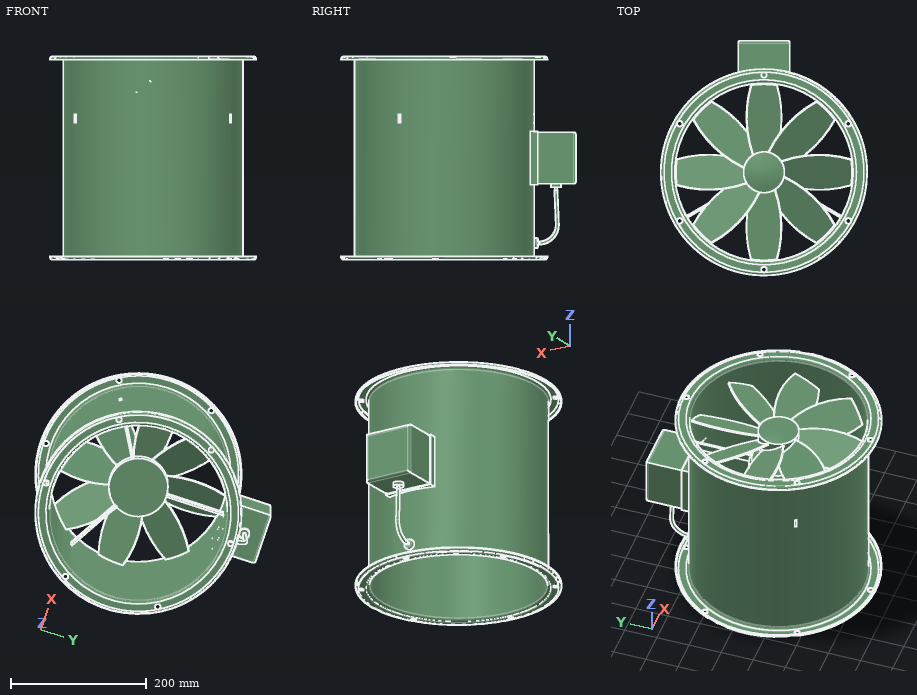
import cadquery as cq
import math

OVERALL_DEPTH = 346.0

CASING_HEIGHT = 300.0
TUBE_RADIUS = 132.5
SHEET = 1.5
BORE_RADIUS = TUBE_RADIUS - SHEET
FLANGE_DIAMETER = 304.0
FLANGE_RADIUS = FLANGE_DIAMETER / 2
BEND_RADIUS = 5.2
LIP_RADIUS = 5.0
LIP_HEIGHT = 5.5
BOLT_COUNT = 6
BOLT_CIRCLE_RADIUS = 143.2
BOLT_HOLE_DIAMETER = 8.0

MOTOR_RADIUS = 43.5
MOTOR_TOP = 220.7
MOTOR_CHAMFER_WIDTH = 4.0
MOTOR_CHAMFER_HEIGHT = 8.3
SHAFT_RADIUS = 7.0
STRUT_HEIGHT = 12.0
STRUT_THICKNESS = 3.0
STRUT_MID_Z = 208.3
STRUT_ANGLES = (90, 210, 330)

HUB_RADIUS = 30.0
HUB_BOTTOM = 247.7
HUB_TOP = 275.5
NOSE_HEIGHT = 6.0
BLADE_COUNT = 8
BLADE_PITCH = 29.5
BLADE_THICKNESS = 2.0
BLADE_MID_Z = 262.0
BLADE_ROOT = 27.5
BLADE_WIDEST = 79.5
TIP_CLEARANCE = 1.5
BLADE_ROOT_SPREAD = 16.5
BLADE_WIDEST_SPREAD = 25.5
BLADE_TIP_SPREAD = 18.0

BOX_SIZE = 76.0
BOX_FRONT = OVERALL_DEPTH - FLANGE_RADIUS
BOX_BACK = 137.7
BOX_EDGE_FILLET = 3.8
BOX_MID_Z = CASING_HEIGHT / 2
FRAME_BORDER = 1.5

CABLE_RADIUS = 2.5
NECK_RADIUS = 2.0
NECK_LENGTH = 4.5
GLAND_RADIUS = 7.5
GLAND_LENGTH = 5.2
GLAND_FILLET = 2.5
BOX_GLAND_Y = 164.5
CASING_GLAND_Z = 25.0
CASING_GLAND_HEIGHT = 5.5
BEND_START = (166.5, 53.0)


def cylinder(radius, bottom, top):
    """Upright cylinder on the fan axis."""
    return cq.Workplane("XY").workplane(offset=bottom).circle(radius).extrude(top - bottom)


def make_struts():
    """Three radial bars whose outer ends lie flush with the outside of the tube."""
    struts = cq.Workplane("XY")
    for angle in STRUT_ANGLES:
        bar = (
            cq.Workplane("XY")
            .box(FLANGE_RADIUS, STRUT_THICKNESS, STRUT_HEIGHT, centered=(False, True, True))
            .rotate((0, 0, 0), (0, 0, 1), angle)
            .translate((0, 0, STRUT_MID_Z))
        )
        struts = struts.union(bar)
    return struts.intersect(cylinder(TUBE_RADIUS, 0, CASING_HEIGHT))


def make_flange():
    """Top flange: bend out of the tube, flat ring, and lip turned back down."""
    top = CASING_HEIGHT
    diagonal = math.sqrt(0.5)
    bend_center = (BORE_RADIUS + BEND_RADIUS, top - BEND_RADIUS)
    lip_center = (FLANGE_RADIUS - LIP_RADIUS, top - LIP_RADIUS)
    bend_inside = BEND_RADIUS - SHEET
    lip_inside = LIP_RADIUS - SHEET

    def on_bend(radius):
        return (bend_center[0] - radius * diagonal, bend_center[1] + radius * diagonal)

    def on_lip(radius):
        return (lip_center[0] + radius * diagonal, lip_center[1] + radius * diagonal)

    profile = (
        cq.Workplane("XZ")
        .moveTo(BORE_RADIUS, bend_center[1])
        .threePointArc(on_bend(BEND_RADIUS), (bend_center[0], top))
        .lineTo(lip_center[0], top)
        .threePointArc(on_lip(LIP_RADIUS), (FLANGE_RADIUS, lip_center[1]))
        .lineTo(FLANGE_RADIUS, top - LIP_HEIGHT)
        .lineTo(FLANGE_RADIUS - SHEET, top - LIP_HEIGHT)
        .lineTo(FLANGE_RADIUS - SHEET, lip_center[1])
        .threePointArc(on_lip(lip_inside), (lip_center[0], top - SHEET))
        .lineTo(bend_center[0], top - SHEET)
        .threePointArc(on_bend(bend_inside), (TUBE_RADIUS, bend_center[1]))
        .close()
    )
    return profile.revolve(360, (0, 0, 0), (0, 1, 0))


def make_casing(struts):
    tube = cylinder(TUBE_RADIUS, BEND_RADIUS, CASING_HEIGHT - BEND_RADIUS).cut(
        cylinder(BORE_RADIUS, 0, CASING_HEIGHT)
    )
    top_flange = make_flange()
    bottom_flange = top_flange.mirror("XY", (0, 0, CASING_HEIGHT / 2))
    bolt_holes = (
        cq.Workplane("XY")
        .polarArray(BOLT_CIRCLE_RADIUS, 90, 360, BOLT_COUNT)
        .circle(BOLT_HOLE_DIAMETER / 2)
        .extrude(CASING_HEIGHT)
    )
    return tube.union(top_flange).union(bottom_flange).cut(bolt_holes).cut(struts)


def make_motor(struts):
    """Motor centred on the struts in height, with a shaft reaching up to the hub."""
    motor_bottom = 2 * STRUT_MID_Z - MOTOR_TOP
    can = (
        cylinder(MOTOR_RADIUS, motor_bottom, MOTOR_TOP)
        .faces(">Z")
        .chamfer(MOTOR_CHAMFER_HEIGHT, MOTOR_CHAMFER_WIDTH)
    )
    return can.union(cylinder(SHAFT_RADIUS, STRUT_MID_Z, HUB_BOTTOM)).union(struts)


def make_hub():
    """Hub of revolution: a cylinder closed by a shallow dome."""
    nose_top = HUB_TOP + NOSE_HEIGHT
    dome_radius = (HUB_RADIUS**2 + NOSE_HEIGHT**2) / (2 * NOSE_HEIGHT)
    mid_radius = HUB_RADIUS / 2
    mid_height = nose_top - dome_radius + math.sqrt(dome_radius**2 - mid_radius**2)
    return (
        cq.Workplane("XZ")
        .moveTo(0, HUB_BOTTOM)
        .lineTo(HUB_RADIUS, HUB_BOTTOM)
        .lineTo(HUB_RADIUS, HUB_TOP)
        .threePointArc((mid_radius, mid_height), (0, nose_top))
        .close()
        .revolve(360, (0, 0, 0), (0, 1, 0))
    )


def make_blade():
    """Flat blade along +X, bulging at mid span, pitched so its +Y edge is the higher one."""
    widening = 1 / math.cos(math.radians(BLADE_PITCH))
    root = BLADE_ROOT_SPREAD * widening
    widest = BLADE_WIDEST_SPREAD * widening
    tip = BLADE_TIP_SPREAD * widening
    return (
        cq.Workplane("XY")
        .workplane(offset=-BLADE_THICKNESS / 2)
        .moveTo(0, -root)
        .lineTo(BLADE_ROOT, -root)
        .threePointArc((BLADE_WIDEST, -widest), (BORE_RADIUS, -tip))
        .lineTo(BORE_RADIUS, tip)
        .threePointArc((BLADE_WIDEST, widest), (BLADE_ROOT, root))
        .lineTo(0, root)
        .close()
        .extrude(BLADE_THICKNESS)
        .rotate((0, 0, 0), (1, 0, 0), BLADE_PITCH)
        .translate((0, 0, BLADE_MID_Z))
    )


def make_impeller():
    swept_ring = cylinder(BORE_RADIUS - TIP_CLEARANCE, 0, CASING_HEIGHT).cut(
        cylinder(HUB_RADIUS / 2, 0, CASING_HEIGHT)
    )
    blade = make_blade().intersect(swept_ring).solids(">X")
    impeller = make_hub()
    for index in range(BLADE_COUNT):
        impeller = impeller.union(blade.rotate((0, 0, 0), (0, 0, 1), index * 360 / BLADE_COUNT))
    return impeller


def make_frame():
    """Mounting frame, its back shaped to the tube."""
    side = BOX_SIZE + 2 * FRAME_BORDER
    block = (
        cq.Workplane("XY")
        .box(side, BOX_BACK, side, centered=(True, False, True))
        .translate((0, 0, BOX_MID_Z))
    )
    return block.cut(cylinder(TUBE_RADIUS, 0, CASING_HEIGHT))


def make_box():
    depth = BOX_FRONT - BOX_BACK
    return (
        cq.Workplane("XY")
        .box(BOX_SIZE, depth, BOX_SIZE, centered=(True, False, True))
        .faces(">Y")
        .edges()
        .fillet(BOX_EDGE_FILLET)
        .translate((0, BOX_BACK, BOX_MID_Z))
    )


def make_cable():
    """Cable from the underside of the box into the tube wall, with a gland at each end."""
    box_bottom = BOX_MID_Z - BOX_SIZE / 2
    casing_gland_end = TUBE_RADIUS + CASING_GLAND_HEIGHT
    cable_top = box_bottom - GLAND_LENGTH - NECK_LENGTH
    cable_end_y = casing_gland_end + NECK_LENGTH / 2

    path = (
        cq.Workplane("YZ")
        .moveTo(BOX_GLAND_Y, cable_top)
        .lineTo(*BEND_START)
        .tangentArcPoint((cable_end_y, CASING_GLAND_Z), relative=False)
    )
    sheath = cq.Workplane("XY", origin=(0, BOX_GLAND_Y, cable_top)).circle(CABLE_RADIUS).sweep(path)

    box_plane = cq.Workplane("XY", origin=(0, BOX_GLAND_Y, box_bottom))
    box_gland = box_plane.circle(GLAND_RADIUS).extrude(-GLAND_LENGTH)
    box_neck = box_plane.circle(NECK_RADIUS).extrude(cable_top - CABLE_RADIUS - box_bottom)

    casing_plane = cq.Workplane("XZ", origin=(0, casing_gland_end, CASING_GLAND_Z))
    casing_gland = casing_plane.circle(GLAND_RADIUS).extrude(casing_gland_end - BORE_RADIUS)
    casing_gland = casing_gland.faces(">Y").edges().fillet(GLAND_FILLET)
    casing_neck = casing_plane.circle(NECK_RADIUS).extrude(casing_gland_end - cable_end_y - CABLE_RADIUS)

    cable = sheath
    for part in (box_gland, box_neck, casing_gland, casing_neck):
        cable = cable.union(part)
    return cable.cut(cylinder(TUBE_RADIUS, 0, CASING_HEIGHT))


struts = make_struts()
casing = make_casing(struts)
motor = make_motor(struts)
impeller = make_impeller()
frame = make_frame()
terminal_box = make_box()
cable = make_cable()

result = cq.Compound.makeCompound(
    [
        casing.val(),
        motor.val(),
        impeller.val(),
        frame.val(),
        terminal_box.val(),
        cable.val(),
    ]
)